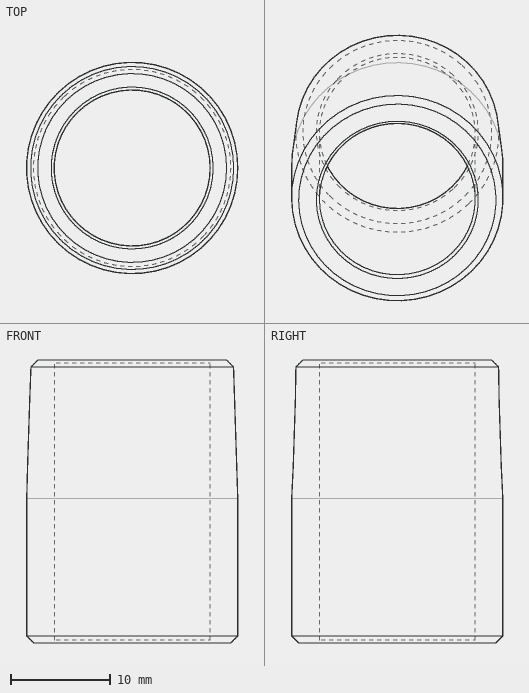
import cadquery as cq

height = 28.57
body_diameter = 21.35
neck_diameter = 20.48
bore_diameter = 15.7
straight_height = 14.57
edge_chamfer = 0.7
bore_chamfer = 0.3

body_radius = body_diameter / 2
neck_radius = neck_diameter / 2
bore_radius = bore_diameter / 2
mouth_radius = bore_radius + bore_chamfer
neck_height = height - edge_chamfer

section = (
    cq.Workplane("XZ")
    .moveTo(mouth_radius, 0)
    .lineTo(body_radius - edge_chamfer, 0)
    .lineTo(body_radius, edge_chamfer)
    .lineTo(body_radius, straight_height)
    .lineTo(neck_radius, neck_height)
    .lineTo(neck_radius - edge_chamfer, height)
    .lineTo(mouth_radius, height)
    .lineTo(bore_radius, height - bore_chamfer)
    .lineTo(bore_radius, bore_chamfer)
    .close()
)

result = section.revolve(360, (0, 0, 0), (0, 1, 0))